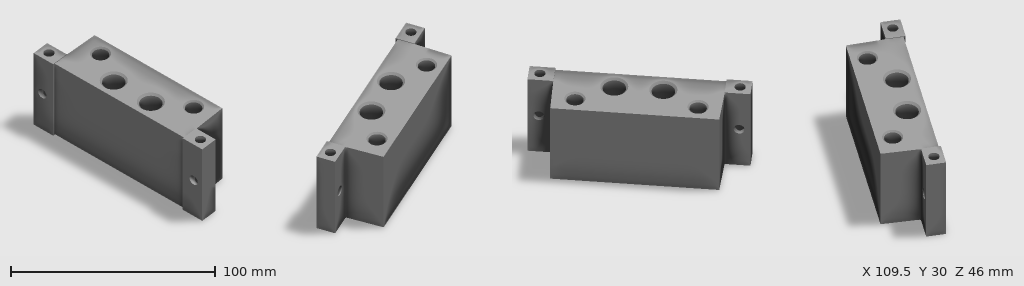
import cadquery as cq

total_length = 109.5
total_depth = 30.0
total_height = 46.0

lug_length = 12.7
lug_depth = 10.0
lug_hole_diameter = 5.5
lug_hole_end_distance = 5.6

block_height = 45.3
block_front_recess = 1.1
block_back_length = 83.0
block_front_half = total_length / 2 - lug_length
block_back_half = block_back_length / 2
root_fillet = 1.0

small_port_diameter = 8.5
small_port_mouth = 10.3
small_port_spacing = 60.4
small_port_y = 21.6
large_port_diameter = 11.5
large_port_mouth = 13.7
large_port_spacing = 24.1
large_port_y = 10.6
port_depth = 16.4


def make_block():
    """Block extruded along Z, with ends that taper from the root fillets to the back."""
    outline = [
        (-block_front_half, block_front_recess),
        (block_front_half, block_front_recess),
        (block_front_half, lug_depth + root_fillet),
        (block_back_half, total_depth),
        (-block_back_half, total_depth),
        (-block_front_half, lug_depth + root_fillet),
    ]
    block = cq.Workplane("XY").polyline(outline).close().extrude(block_height)
    return block.translate((0, 0, -block_height / 2))


def make_lug(side):
    """End bar with its root fillet; side is -1 for the left end, 1 for the right."""
    bar_x = side * (total_length - lug_length) / 2
    bar = cq.Workplane("XY").box(lug_length, lug_depth, total_height)
    bar = bar.translate((bar_x, lug_depth / 2, 0))

    root_x = side * block_front_half
    fillet = (
        cq.Workplane("XY")
        .moveTo(root_x, lug_depth)
        .lineTo(root_x + side * root_fillet, lug_depth)
        .radiusArc((root_x, lug_depth + root_fillet), side * root_fillet)
        .close()
        .extrude(block_height)
        .translate((0, 0, -block_height / 2))
    )
    return bar.union(fillet)


def make_lug_holes(side):
    """Crossing through holes of one lug, along Z and along Y."""
    hole_x = side * (total_length / 2 - lug_hole_end_distance)
    radius = lug_hole_diameter / 2
    bottom = cq.Vector(hole_x, lug_depth / 2, -total_height / 2)
    front = cq.Vector(hole_x, 0, 0)
    vertical = cq.Solid.makeCylinder(radius, total_height, bottom, cq.Vector(0, 0, 1))
    horizontal = cq.Solid.makeCylinder(radius, lug_depth, front, cq.Vector(0, 1, 0))
    return cq.Workplane(vertical).union(cq.Workplane(horizontal))


def cut_port_pair(body, diameter, mouth, spacing, y):
    """Cut two blind ports with 45 degree chamfered mouths."""
    bore_radius = diameter / 2
    mouth_radius = mouth / 2
    chamfer = mouth_radius - bore_radius
    top = block_height / 2
    down = cq.Vector(0, 0, -1)
    for x in (-spacing / 2, spacing / 2):
        centre = cq.Vector(x, y, top)
        bore = cq.Solid.makeCylinder(bore_radius, port_depth, centre, down)
        cone = cq.Solid.makeCone(mouth_radius, bore_radius, chamfer, centre, down)
        body = body.cut(cq.Workplane(bore)).cut(cq.Workplane(cone))
    return body


result = make_block()
for end in (-1, 1):
    result = result.union(make_lug(end)).cut(make_lug_holes(end))
result = cut_port_pair(result, small_port_diameter, small_port_mouth, small_port_spacing, small_port_y)
result = cut_port_pair(result, large_port_diameter, large_port_mouth, large_port_spacing, large_port_y)